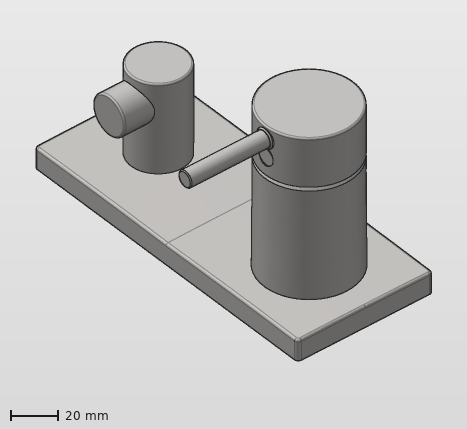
import cadquery as cq

plate_length = 175.0
plate_depth = 75.0
plate_height = 11.9
plate_corner_radius = 2.1
plate_top_radius = 1.2
dome_radius = 2800.0

post_offset = 50.0

diverter_diameter = 30.1
diverter_top = 60.2
stub_diameter = 21.0
stub_axis_height = 45.2
stub_reach = 27.5
knob_edge = 0.9

body_bottom_radius = 24.7
body_top_radius = 24.3
shoulder_top = 72.1
shoulder_height = 2.1
shoulder_inset = 1.4

head_radius = 24.3
overall_height = 98.4
head_edge = 0.9

overall_depth = 106.4
lever_reach = overall_depth - plate_depth / 2
lever_diameter = 8.5
lever_axis_height = 91.7
lever_edge = 0.5
collar_diameter = 10.5
collar_reach = 25.2
collar_edge = 0.7

indicator_diameter = 9.5
indicator_height = 81.9
indicator_depth = 0.5


def forward_cylinder(x, z, diameter, start, reach):
    """Cylinder along -Y, running from a distance start to a distance reach in front of the post axis."""
    disc = cq.Workplane("XZ", origin=(x, -start, z)).circle(diameter / 2)
    return disc.extrude(reach - start)


def make_plate_half(side):
    """Half of the plate, side -1 or +1 along X, with a faint dome over its middle."""
    half_length = plate_length / 2
    middle = side * half_length / 2
    outer_corners = "|Z and <X" if side < 0 else "|Z and >X"
    half = cq.Workplane("XY", origin=(middle, 0, 0))
    half = half.box(half_length, plate_depth, plate_height, centered=(True, True, False))
    half = half.edges(outer_corners).fillet(plate_corner_radius)
    dome = cq.Workplane("XY", origin=(middle, 0, plate_height - dome_radius)).sphere(dome_radius)
    half = half.intersect(dome)
    face_edges = half.faces("%SPHERE").edges().vals()
    rim_edges = [edge for edge in face_edges if abs(edge.Center().x) > plate_corner_radius]
    return half.newObject(rim_edges).fillet(plate_top_radius)


def make_plate():
    return make_plate_half(-1).union(make_plate_half(1))


def make_diverter(x):
    post = cq.Workplane("XY", origin=(x, 0, 0)).circle(diverter_diameter / 2).extrude(diverter_top)
    post = post.faces(">Z").edges().fillet(knob_edge)
    stub = forward_cylinder(x, stub_axis_height, stub_diameter, 0, stub_reach)
    stub = stub.faces("<Y").edges().fillet(knob_edge)
    return post.union(stub)


def make_mixer(x):
    profile = (
        cq.Workplane("XZ", origin=(x, 0, 0))
        .lineTo(body_bottom_radius, 0)
        .lineTo(body_bottom_radius, plate_height)
        .lineTo(body_top_radius, shoulder_top - shoulder_height)
        .lineTo(body_top_radius - shoulder_inset, shoulder_top)
        .lineTo(0, shoulder_top)
        .close()
    )
    body = profile.revolve(360, (0, 0, 0), (0, 1, 0))

    head = cq.Workplane("XY", origin=(x, 0, shoulder_top)).circle(head_radius)
    head = head.extrude(overall_height - shoulder_top)
    head = head.faces(">Z").edges().fillet(head_edge)
    indicator = forward_cylinder(
        x, indicator_height, indicator_diameter, head_radius - indicator_depth, lever_reach
    )
    head = head.cut(indicator)

    collar = forward_cylinder(x, lever_axis_height, collar_diameter, 0, collar_reach)
    collar = collar.faces("<Y").edges().chamfer(collar_edge)
    lever = forward_cylinder(x, lever_axis_height, lever_diameter, 0, lever_reach)
    lever = lever.faces("<Y").edges().chamfer(lever_edge)
    return body.union(head).union(collar).union(lever)


result = make_plate().union(make_diverter(-post_offset)).union(make_mixer(post_offset))